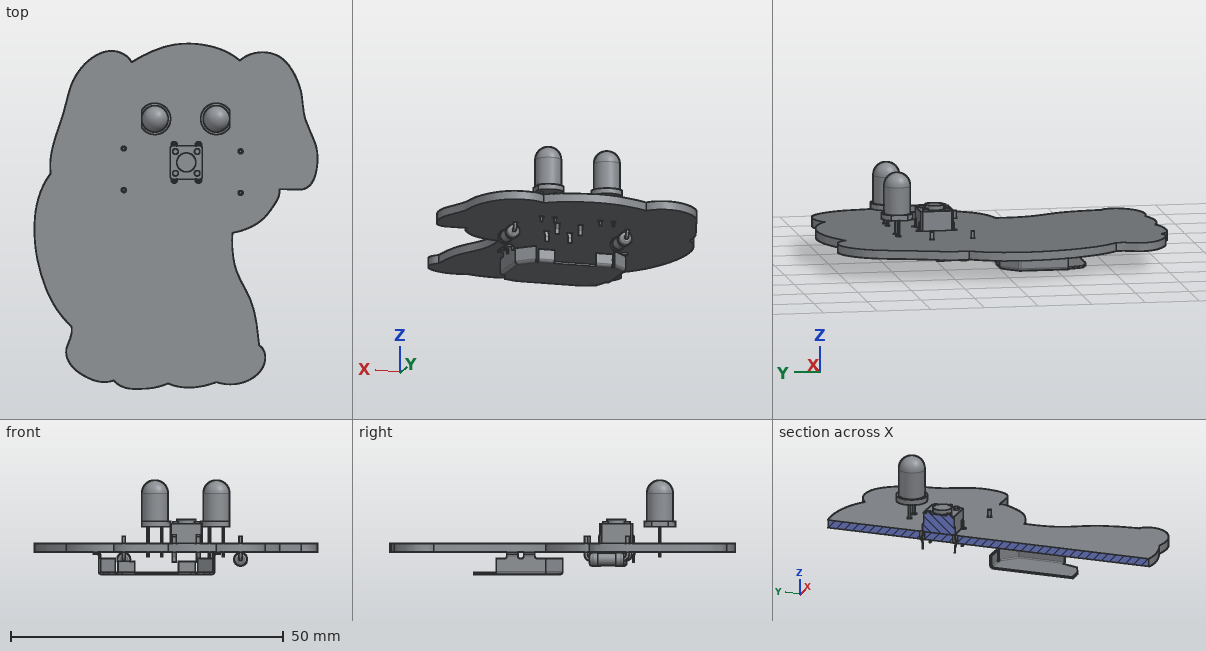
import cadquery as cq
import math

BOARD_THICKNESS = 1.6

LED_LEFT_X = -3.85
LED_RIGHT_X = 7.4
LED_Y = 17.85
LED_BODY_RADIUS = 4.9 / 2
LED_FLANGE_RADIUS = 5.75 / 2
LED_FLANGE_BOTTOM = 4.6
LED_FLANGE_HEIGHT = 1.0
LED_DOME_BASE = 10.8
LED_LEAD_PITCH = 2.55
LED_LEAD_WIDTH = 0.4
LED_LEAD_BOTTOM = -0.9
LED_HOLE_DIAMETER = 0.9

SWITCH_X = 1.9
SWITCH_Y = 9.9
SWITCH_SIZE_X = 5.9
SWITCH_SIZE_Y = 6.1
SWITCH_TOP = 5.2
SWITCH_CORNER_X = 0.2
SWITCH_CORNER_Y = 0.4
BUTTON_DIAMETER = 3.5
BUTTON_HEIGHT = 0.8
PEG_DIAMETER = 1.0
PEG_HEIGHT = 0.4
PEG_PITCH = 4.0
SWITCH_LEG_PITCH_X = 4.45
SWITCH_LEG_PITCH_Y = 6.45
SWITCH_LEG_WIDTH = 0.75
SWITCH_LEG_THICKNESS = 0.2
SWITCH_LEG_TOP = 3.15
SWITCH_LEG_BEVEL = 0.3
SWITCH_LEG_BOTTOM = -1.85
SWITCH_KINK_TOP = 1.0
SWITCH_KINK_MIDDLE = 0.1
SWITCH_KINK_BOTTOM = -0.8
SWITCH_KINK_DEPTH = 0.25
SWITCH_HOLE_DIAMETER = 1.1

RESISTOR_CENTRES = [(-9.55, 8.6), (11.85, 8.1)]
RESISTOR_AXIS_Z = -1.3
RESISTOR_CAP_RADIUS = 2.5 / 2
RESISTOR_WAIST_RADIUS = 2.3 / 2
RESISTOR_HALF_LENGTH = 3.15
RESISTOR_WAIST_HALF_LENGTH = 1.65
RESISTOR_END_ROUND = 0.6
RESISTOR_LEAD_DIAMETER = 0.6
RESISTOR_LEAD_PITCH = 7.6
RESISTOR_LEAD_TOP = 2.9
RESISTOR_BEND_RADIUS = 0.8
RESISTOR_HOLE_DIAMETER = 0.8

CLIP_X = -3.55
CLIP_SHEET = 0.4
CLIP_HALF_WIDTH = 10.65
CLIP_REAR_HALF_WIDTH = 7.55
CLIP_REAR_Y = 0.05
CLIP_FRONT_Y = -12.15
CLIP_BOTTOM = -4.1
CLIP_WALL_TOP = -1.15
CLIP_BEND_RADIUS = 0.6
TAB_INNER_X = 4.0
TAB_OUTER_X = 7.1
TAB_TOP = -1.7
TONGUE_ROOT_HALF_WIDTH = 9.75
TONGUE_SHOULDER_HALF_WIDTH = 8.75
TONGUE_SHOULDER_Y = -15.2
TONGUE_TIP_HALF_WIDTH = 6.3
TONGUE_TIP_Y = -16.2
FOOT_CENTRES_Y = [-6.1, -9.2]
FOOT_WIDTH = 2.1
FOOT_END_HALF_SPAN = 11.65
FOOT_BEND_RADIUS = 0.65
FOOT_FLARE = 0.3


def corner_offsets(pitch_x, pitch_y):
    """Four (x, y) offsets at the corners of a rectangle."""
    return [(sx * pitch_x / 2, sy * pitch_y / 2) for sx in (-1, 1) for sy in (-1, 1)]


def shift(points, x, y):
    """The same (x, y) points moved by x and y."""
    return [(px + x, py + y) for px, py in points]


LED_LEAD_OFFSETS = [(-LED_LEAD_PITCH / 2, 0), (LED_LEAD_PITCH / 2, 0)]
RESISTOR_LEAD_OFFSETS = [(0, -RESISTOR_LEAD_PITCH / 2), (0, RESISTOR_LEAD_PITCH / 2)]
SWITCH_LEG_OFFSETS = corner_offsets(SWITCH_LEG_PITCH_X, SWITCH_LEG_PITCH_Y)


def board_outline():
    """Closed dog silhouette: smooth curves that meet at sharp notches."""
    head_notch = (-8.1, 28.25)
    left_ear = [(-9.75, 29.85), (-11.8, 30.35), (-14.65, 29.5), (-17.7, 26.8), (-19.15, 24.25),
                (-20.35, 19.95), (-22.1, 14.5), (-23.0, 10.6), (-23.0, 7.85)]
    back = [(-24.85, 4.5), (-26.0, -2.85), (-24.7, -10.8), (-22.1, -16.65), (-19.2, -20.15)]
    rear_foot = [(-19.5, -22.7), (-20.15, -24.6), (-19.45, -27.0), (-16.9, -29.2), (-13.35, -30.4),
                 (-11.4, -30.1)]
    left_toe = [(-9.1, -31.5), (-6.8, -31.7), (-4.3, -31.5), (-1.45, -30.65)]
    middle_toe = [(0.75, -31.3), (3.5, -31.35), (7.4, -30.4)]
    front_foot = [(10.8, -30.8), (14.25, -29.5), (16.2, -27.0), (16.3, -25.1), (15.25, -23.6)]
    chest = [(14.9, -20.3), (13.6, -15.2), (11.1, -9.95), (10.45, -7.0), (10.4, -3.05)]
    chin = [(13.5, -2.1), (16.2, -0.25), (17.9, 1.95), (18.8, 3.55), (19.0, 4.95)]
    right_ear_root = (23.0, 4.9)
    right_ear = [(24.65, 5.75), (25.8, 8.5), (25.8, 12.5), (23.6, 18.2), (23.0, 22.6), (21.9, 25.65),
                 (18.9, 29.3), (15.7, 30.1), (13.2, 29.5), (11.7, 28.6)]
    head = [(8.75, 30.4), (4.9, 31.5), (0.1, 31.55), (-4.3, 30.3), head_notch]

    outline = cq.Workplane("XY").moveTo(*head_notch)
    for curve in (left_ear, back, rear_foot, left_toe, middle_toe, front_foot, chest, chin):
        outline = outline.spline(curve, includeCurrent=True)
    outline = outline.lineTo(*right_ear_root)
    for curve in (right_ear, head):
        outline = outline.spline(curve, includeCurrent=True)
    return outline.close()


def drill(board, points, diameter):
    """Cut round holes through the board at the given points."""
    holes = cq.Workplane("XY").pushPoints(points).circle(diameter / 2).extrude(BOARD_THICKNESS)
    return board.cut(holes)


def make_board():
    board = board_outline().extrude(BOARD_THICKNESS)
    for led_x in (LED_LEFT_X, LED_RIGHT_X):
        board = drill(board, shift(LED_LEAD_OFFSETS, led_x, LED_Y), LED_HOLE_DIAMETER)
    for x, y in RESISTOR_CENTRES:
        board = drill(board, shift(RESISTOR_LEAD_OFFSETS, x, y), RESISTOR_HOLE_DIAMETER)
    return drill(board, shift(SWITCH_LEG_OFFSETS, SWITCH_X, SWITCH_Y), SWITCH_HOLE_DIAMETER)


def make_led(x, flat_side):
    """LED with a domed body; flat_side is -1 or +1, the X side where its flange is cut flush."""
    flange = (
        cq.Workplane("XY").workplane(offset=LED_FLANGE_BOTTOM)
        .circle(LED_FLANGE_RADIUS).extrude(LED_FLANGE_HEIGHT)
    )
    kept_side = (
        cq.Workplane("XY")
        .box(2 * LED_FLANGE_RADIUS, 2 * LED_FLANGE_RADIUS, LED_DOME_BASE, centered=(True, True, False))
        .translate((flat_side * (LED_BODY_RADIUS - LED_FLANGE_RADIUS), 0, 0))
    )
    flange = flange.intersect(kept_side)

    dome_reach = LED_BODY_RADIUS * math.sin(math.pi / 4)
    dome_profile = (
        cq.Workplane("XZ").moveTo(0, LED_FLANGE_BOTTOM)
        .lineTo(LED_BODY_RADIUS, LED_FLANGE_BOTTOM)
        .lineTo(LED_BODY_RADIUS, LED_DOME_BASE)
        .threePointArc(
            (dome_reach, LED_DOME_BASE + dome_reach),
            (0, LED_DOME_BASE + LED_BODY_RADIUS),
        )
        .close()
    )
    lens = dome_profile.revolve(360, (0, 0, 0), (0, 1, 0))
    leads = (
        cq.Workplane("XY").workplane(offset=LED_LEAD_BOTTOM)
        .pushPoints(LED_LEAD_OFFSETS).rect(LED_LEAD_WIDTH, LED_LEAD_WIDTH)
        .extrude(LED_FLANGE_BOTTOM - LED_LEAD_BOTTOM)
    )
    return flange.union(lens).union(leads).translate((x, LED_Y, 0))


def switch_leg():
    """Snap-in leg on the +Y face, centred on X = 0, bowed outwards where it passes the board."""
    inner = SWITCH_SIZE_Y / 2
    outer = inner + SWITCH_LEG_THICKNESS
    profile = [
        (inner, SWITCH_LEG_TOP),
        (outer, SWITCH_LEG_TOP - SWITCH_LEG_BEVEL),
        (outer, SWITCH_KINK_TOP),
        (outer + SWITCH_KINK_DEPTH, SWITCH_KINK_MIDDLE),
        (outer, SWITCH_KINK_BOTTOM),
        (outer, SWITCH_LEG_BOTTOM),
        (inner, SWITCH_LEG_BOTTOM),
        (inner, SWITCH_KINK_BOTTOM),
        (inner + SWITCH_KINK_DEPTH, SWITCH_KINK_MIDDLE),
        (inner, SWITCH_KINK_TOP),
    ]
    return cq.Workplane("YZ").polyline(profile).close().extrude(SWITCH_LEG_WIDTH / 2, both=True)


def make_switch():
    half_x = SWITCH_SIZE_X / 2
    half_y = SWITCH_SIZE_Y / 2
    footprint = [
        (half_x, half_y - SWITCH_CORNER_Y), (half_x - SWITCH_CORNER_X, half_y),
        (SWITCH_CORNER_X - half_x, half_y), (-half_x, half_y - SWITCH_CORNER_Y),
        (-half_x, SWITCH_CORNER_Y - half_y), (SWITCH_CORNER_X - half_x, -half_y),
        (half_x - SWITCH_CORNER_X, -half_y), (half_x, SWITCH_CORNER_Y - half_y),
    ]
    switch = (
        cq.Workplane("XY").workplane(offset=BOARD_THICKNESS)
        .polyline(footprint).close().extrude(SWITCH_TOP - BOARD_THICKNESS)
    )
    top_plane = cq.Workplane("XY").workplane(offset=SWITCH_TOP)
    button = top_plane.circle(BUTTON_DIAMETER / 2).extrude(BUTTON_HEIGHT)
    pegs = (
        top_plane.pushPoints(corner_offsets(PEG_PITCH, PEG_PITCH))
        .circle(PEG_DIAMETER / 2).extrude(PEG_HEIGHT)
    )
    switch = switch.union(button).union(pegs)
    for x, y in SWITCH_LEG_OFFSETS:
        leg = switch_leg() if y > 0 else switch_leg().mirror("XZ")
        switch = switch.union(leg.translate((x, 0, 0)))
    return switch.translate((SWITCH_X, SWITCH_Y, 0))


def make_resistor(x, y):
    """Dog-bone resistor whose leads bend up through the board."""
    def cylinder_along_y(radius, half_length):
        return cq.Workplane("XZ", origin=(0, half_length, 0)).circle(radius).extrude(2 * half_length)

    body = cylinder_along_y(RESISTOR_CAP_RADIUS, RESISTOR_HALF_LENGTH).edges().fillet(RESISTOR_END_ROUND)
    waist_sleeve = cylinder_along_y(RESISTOR_CAP_RADIUS, RESISTOR_WAIST_HALF_LENGTH).cut(
        cylinder_along_y(RESISTOR_WAIST_RADIUS, RESISTOR_WAIST_HALF_LENGTH)
    )
    body = body.cut(waist_sleeve)

    half_pitch = RESISTOR_LEAD_PITCH / 2
    lead_height = RESISTOR_LEAD_TOP - RESISTOR_AXIS_Z
    bend_start = half_pitch - RESISTOR_BEND_RADIUS
    bend_reach = RESISTOR_BEND_RADIUS * math.sin(math.pi / 4)
    lead_path = (
        cq.Workplane("YZ").moveTo(-half_pitch, lead_height)
        .lineTo(-half_pitch, RESISTOR_BEND_RADIUS)
        .threePointArc((-bend_start - bend_reach, RESISTOR_BEND_RADIUS - bend_reach), (-bend_start, 0))
        .lineTo(bend_start, 0)
        .threePointArc((bend_start + bend_reach, RESISTOR_BEND_RADIUS - bend_reach),
                       (half_pitch, RESISTOR_BEND_RADIUS))
        .lineTo(half_pitch, lead_height)
    )
    wire = (
        cq.Workplane("XY", origin=(0, -half_pitch, lead_height))
        .circle(RESISTOR_LEAD_DIAMETER / 2).sweep(lead_path)
    )
    return body.union(wire).translate((x, y, RESISTOR_AXIS_Z))


def clip_block(inset, front_y, bend_radius):
    """Solid with the clip's footprint, shrunk by inset and rounded where the sheet folds."""
    diagonal_shift = inset * math.tan(math.pi / 8)
    half_width = CLIP_HALF_WIDTH - inset
    rear_half_width = CLIP_REAR_HALF_WIDTH - diagonal_shift
    rear_y = CLIP_REAR_Y - inset
    shoulder_y = rear_y - (half_width - rear_half_width)
    bottom = CLIP_BOTTOM + inset
    footprint = [
        (half_width, front_y), (half_width, shoulder_y), (rear_half_width, rear_y),
        (-rear_half_width, rear_y), (-half_width, shoulder_y), (-half_width, front_y),
    ]
    block = (
        cq.Workplane("XY").workplane(offset=bottom)
        .polyline(footprint).close().extrude(CLIP_WALL_TOP - bottom)
    )
    shoulders = cq.selectors.BoxSelector(
        (-CLIP_HALF_WIDTH, shoulder_y - CLIP_SHEET, CLIP_BOTTOM),
        (CLIP_HALF_WIDTH, shoulder_y + CLIP_SHEET, CLIP_WALL_TOP),
    )
    block = block.edges("|Z").edges(shoulders).fillet(bend_radius)
    return block.faces("<Z").edges("not(<Y)").fillet(bend_radius)


def clip_foot(y):
    """Foot on the +X wall: a neck that rises to the board and turns outwards under it."""
    inner = CLIP_HALF_WIDTH - CLIP_SHEET
    foot = (
        cq.Workplane("XZ", origin=(0, y + FOOT_WIDTH / 2, 0)).polyline([
            (inner, CLIP_WALL_TOP), (CLIP_HALF_WIDTH, CLIP_WALL_TOP), (CLIP_HALF_WIDTH, -CLIP_SHEET),
            (FOOT_END_HALF_SPAN, -CLIP_SHEET), (FOOT_END_HALF_SPAN, 0), (inner, 0),
        ]).close().extrude(FOOT_WIDTH)
    )
    outer_corner = cq.selectors.NearestToPointSelector((inner, y, 0))
    inner_corner = cq.selectors.NearestToPointSelector((CLIP_HALF_WIDTH, y, -CLIP_SHEET))
    foot = foot.edges("|Y").edges(outer_corner).fillet(FOOT_BEND_RADIUS)
    return foot.edges("|Y").edges(inner_corner).fillet(FOOT_BEND_RADIUS - CLIP_SHEET)


def flare_feet(clip):
    """Round the inside corners where the foot necks leave the top of the walls."""
    neck_corners = cq.selectors.BoxSelector(
        (-CLIP_HALF_WIDTH, min(FOOT_CENTRES_Y) - FOOT_WIDTH, CLIP_WALL_TOP - CLIP_SHEET / 2),
        (CLIP_HALF_WIDTH, max(FOOT_CENTRES_Y) + FOOT_WIDTH, CLIP_WALL_TOP + CLIP_SHEET / 2),
    )
    return clip.edges("|X").edges(neck_corners).fillet(FOOT_FLARE)


def make_clip():
    cavity_front = CLIP_FRONT_Y - CLIP_SHEET
    clip = clip_block(0, CLIP_FRONT_Y, CLIP_BEND_RADIUS).cut(
        clip_block(CLIP_SHEET, cavity_front, CLIP_BEND_RADIUS - CLIP_SHEET)
    )

    fold_y = CLIP_REAR_Y - CLIP_BEND_RADIUS

    def rear_cut(x_min, x_max, z_min):
        return cq.Workplane("XY").box(
            x_max - x_min, CLIP_BEND_RADIUS, CLIP_WALL_TOP - z_min, centered=False
        ).translate((x_min, fold_y, z_min))

    clip = clip.cut(rear_cut(-TAB_INNER_X, TAB_INNER_X, CLIP_BOTTOM))
    for left, right in ((-CLIP_REAR_HALF_WIDTH, -TAB_OUTER_X), (TAB_OUTER_X, CLIP_REAR_HALF_WIDTH)):
        clip = clip.cut(rear_cut(left, right, CLIP_BOTTOM))
    clip = clip.cut(rear_cut(-TAB_OUTER_X, TAB_OUTER_X, TAB_TOP))

    tongue = (
        cq.Workplane("XY").workplane(offset=CLIP_BOTTOM)
        .polyline([
            (-TONGUE_ROOT_HALF_WIDTH, CLIP_FRONT_Y),
            (-TONGUE_SHOULDER_HALF_WIDTH, TONGUE_SHOULDER_Y), (-TONGUE_TIP_HALF_WIDTH, TONGUE_TIP_Y),
            (TONGUE_TIP_HALF_WIDTH, TONGUE_TIP_Y), (TONGUE_SHOULDER_HALF_WIDTH, TONGUE_SHOULDER_Y),
            (TONGUE_ROOT_HALF_WIDTH, CLIP_FRONT_Y),
        ]).close().extrude(CLIP_SHEET)
    )
    clip = clip.union(tongue)
    for y in FOOT_CENTRES_Y:
        foot = clip_foot(y)
        clip = clip.union(foot).union(foot.mirror("YZ"))
    return flare_feet(clip).translate((CLIP_X, 0, 0))


board = make_board()
leds = [make_led(LED_LEFT_X, -1), make_led(LED_RIGHT_X, 1)]
switch = make_switch()
resistors = [make_resistor(x, y) for x, y in RESISTOR_CENTRES]
clip = make_clip()

bodies = [board, *leds, switch, *resistors, clip]
result = cq.Compound.makeCompound([body.solids().val() for body in bodies])